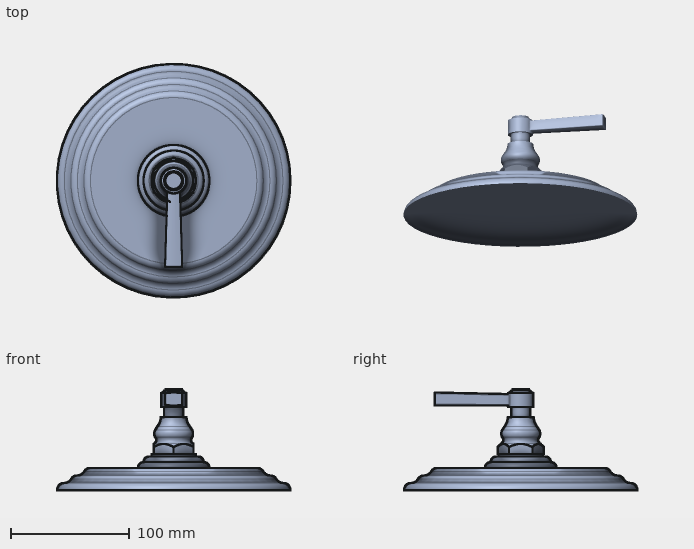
import cadquery as cq
import math

PLATE_RADIUS = 98.425
OGEE_RADIUS = 6.35
OGEE_SWEEP = math.radians(60)
OGEE_STEPS = 2
OGEE_RUN = OGEE_RADIUS * math.sin(OGEE_SWEEP)
OGEE_DROP = OGEE_RADIUS * (1 - math.cos(OGEE_SWEEP))
HALF_SWEEP_RUN = OGEE_RADIUS * math.sin(OGEE_SWEEP / 2)
HALF_SWEEP_DROP = OGEE_RADIUS * (1 - math.cos(OGEE_SWEEP / 2))
PLATE_TOP = OGEE_RADIUS + 2 * OGEE_STEPS * OGEE_DROP

ROSETTE_RADIUS = 30.16
ROSETTE_ROUND = 4.76
ROSETTE_STEPS = 2
COLLAR_RADIUS = 18.8

HEX_BOTTOM = 30.7
HEX_TOP = 39.4
HEX_ACROSS_FLATS = 33.8
HEX_CORNER_RADIUS = HEX_ACROSS_FLATS / math.sqrt(3)

BELL_BASE = (16.6, HEX_TOP)
BELL_WAIST = (14.8, 41.9)
BELL_BULGE_BOTTOM = (15.7, 44.8)
BELL_BULGE = (16.5, 48.0)
BELL_BULGE_TOP = (15.75, 50.7)
BELL_FLARE_BOTTOM = (13.85, 53.7)
BELL_FLARE = (11.6, 57.7)
BELL_TOP = (10.95, 61.7)

STEM_RADIUS = 8.2
HUB_RADIUS = 10.65
HUB_BOTTOM = 70.1
HUB_SHOULDER = 82.2
CAP_RIM_RADIUS = 8.0
CAP_RIM_HEIGHT = 84.0
CAP_RADIUS = 7.0
HANDLE_TOP = 85.32

LEVER_TIP = 72.55
LEVER_BOTTOM = 71.3
LEVER_ROOT_TOP = 81.0
LEVER_TIP_TOP = 82.6
LEVER_ROOT_WIDTH = 10.2
LEVER_TIP_WIDTH = 14.5
LEVER_CROWN = 0.7
LEVER_EDGE_ROUND = 0.65
LEVER_ROOT_ROUND = 0.9


def revolve(profile):
    """Close a half profile on the axis and turn it around Z."""
    return profile.close().revolve(360, (0, 0, 0), (0, 1, 0))


def make_plate():
    """Plate with a stepped rim, each step a convex arc running into a hollow one."""
    radius = PLATE_RADIUS - OGEE_RADIUS - 2 * OGEE_STEPS * OGEE_RUN
    height = PLATE_TOP
    profile = cq.Workplane("XZ").lineTo(0, height).lineTo(radius, height)
    for _ in range(OGEE_STEPS):
        next_radius = radius + 2 * OGEE_RUN
        next_height = height - 2 * OGEE_DROP
        profile = profile.threePointArc(
            (radius + HALF_SWEEP_RUN, height - HALF_SWEEP_DROP),
            (radius + OGEE_RUN, height - OGEE_DROP),
        ).threePointArc(
            (next_radius - HALF_SWEEP_RUN, next_height + HALF_SWEEP_DROP),
            (next_radius, next_height),
        )
        radius, height = next_radius, next_height
    profile = profile.radiusArc((PLATE_RADIUS, 0), OGEE_RADIUS)
    return revolve(profile)


def make_rosette():
    """Quarter rounds stepping down from the collar, standing on the plate."""
    radius = ROSETTE_RADIUS - ROSETTE_STEPS * ROSETTE_ROUND
    height = PLATE_TOP + ROSETTE_STEPS * ROSETTE_ROUND
    profile = cq.Workplane("XZ").lineTo(0, HEX_BOTTOM).lineTo(COLLAR_RADIUS, HEX_BOTTOM)
    profile = profile.lineTo(COLLAR_RADIUS, height).lineTo(radius, height)
    for _ in range(ROSETTE_STEPS):
        radius += ROSETTE_ROUND
        height -= ROSETTE_ROUND
        profile = profile.radiusArc((radius, height), ROSETTE_ROUND)
    return revolve(profile.lineTo(radius, 0))


def make_hex_nut():
    """Hexagon with corners on the Y axis, its top cut by a 45 degree cone down to the bell foot."""
    height = HEX_TOP - HEX_BOTTOM
    nut = (
        cq.Workplane("XY")
        .workplane(offset=HEX_BOTTOM)
        .polygon(6, 2 * HEX_CORNER_RADIUS)
        .extrude(height)
        .rotate((0, 0, 0), (0, 0, 1), 90)
    )
    chamfer = HEX_CORNER_RADIUS - BELL_BASE[0]
    envelope = (
        cq.Workplane("XY")
        .workplane(offset=HEX_BOTTOM)
        .circle(HEX_CORNER_RADIUS)
        .extrude(height)
        .faces(">Z")
        .chamfer(chamfer)
    )
    return nut.intersect(envelope)


def make_bell():
    """Bonnet turned from a lower hollow, a bulge and a flared upper hollow."""
    profile = (
        cq.Workplane("XZ")
        .moveTo(0, HEX_TOP)
        .lineTo(*BELL_BASE)
        .threePointArc(BELL_WAIST, BELL_BULGE_BOTTOM)
        .threePointArc(BELL_BULGE, BELL_BULGE_TOP)
        .lineTo(*BELL_FLARE_BOTTOM)
        .threePointArc(BELL_FLARE, BELL_TOP)
        .lineTo(0, BELL_TOP[1])
    )
    return revolve(profile)


def make_hub():
    """Stem, cylindrical hub and the hollow shoulder leading to the cap."""
    stem_bottom = BELL_TOP[1]
    profile = (
        cq.Workplane("XZ")
        .moveTo(0, stem_bottom)
        .lineTo(STEM_RADIUS, stem_bottom)
        .lineTo(STEM_RADIUS, HUB_BOTTOM)
        .lineTo(HUB_RADIUS, HUB_BOTTOM)
        .lineTo(HUB_RADIUS, HUB_SHOULDER)
        .radiusArc((CAP_RIM_RADIUS, CAP_RIM_HEIGHT), HUB_RADIUS - CAP_RIM_RADIUS)
        .lineTo(CAP_RADIUS, CAP_RIM_HEIGHT)
        .lineTo(CAP_RADIUS, HANDLE_TOP)
        .lineTo(0, HANDLE_TOP)
    )
    return revolve(profile)


def lever_section(reach, width, top):
    """Closed cross-section of the lever, bowed above and below, at Y = -reach."""
    half = width / 2
    low_corner = LEVER_BOTTOM + LEVER_CROWN
    high_corner = top - LEVER_CROWN
    outline = (
        cq.Workplane("XZ", origin=(0, -reach, 0))
        .moveTo(-half, low_corner)
        .threePointArc((0, LEVER_BOTTOM), (half, low_corner))
        .lineTo(half, high_corner)
        .threePointArc((0, top), (-half, high_corner))
        .close()
    )
    return outline.val()


def make_lever():
    """Tapered bar running out from the axis, rounded along its edges and tip."""
    root = lever_section(0, LEVER_ROOT_WIDTH, LEVER_ROOT_TOP)
    tip = lever_section(LEVER_TIP, LEVER_TIP_WIDTH, LEVER_TIP_TOP)
    lever = cq.Workplane(cq.Solid.makeLoft([root, tip], True))
    return lever.edges("not(>Y)").fillet(LEVER_EDGE_ROUND)


def make_handle():
    """Hub and lever, blended where the lever leaves the hub."""
    handle = make_hub().union(make_lever())
    near_root = cq.selectors.BoxSelector(
        (-LEVER_ROOT_WIDTH, -HUB_RADIUS - LEVER_ROOT_ROUND, LEVER_BOTTOM - LEVER_CROWN),
        (LEVER_ROOT_WIDTH, -HUB_RADIUS / 2, HUB_SHOULDER - LEVER_CROWN / 2),
    )
    return handle.edges(near_root).fillet(LEVER_ROOT_ROUND)


result = make_plate().union(make_rosette()).union(make_hex_nut()).union(make_bell()).union(make_handle())